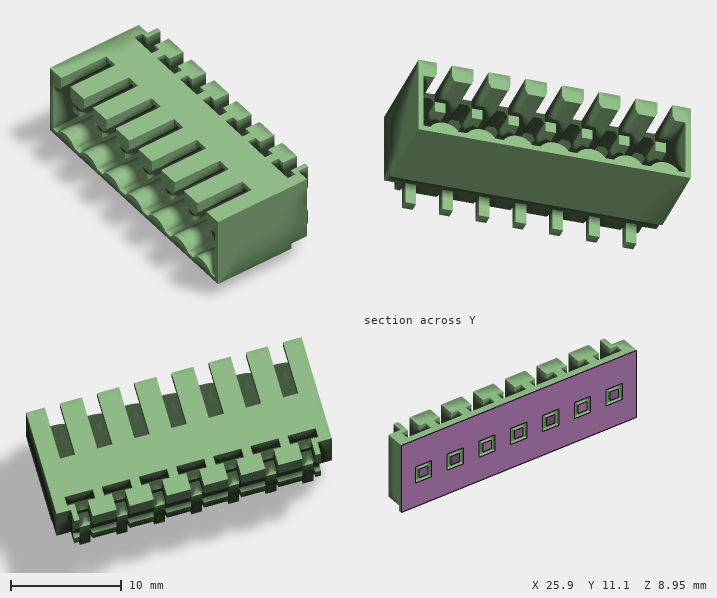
import cadquery as cq


pin_count = 7
pitch = 3.5
position_xs = [(i - (pin_count - 1) / 2) * pitch for i in range(pin_count)]

length = 25.9
depth = 11.05
height = 7.5
end_step_x = 1.35
end_step_y = 1.11
foot_step_y = 2.82
foot_step_z = 0.62

wall = 0.5
cavity_top_z = height - 1.63
cavity_depth = depth - foot_step_y - wall
ridge_half_width = 1.35
ridge_height = 0.7
groove_base_width = 1.97
groove_top_width = 0.75
groove_top_z = height - 0.55
slot_width = 1.42
slot_length = 5.02

pin_size = 1.0
pin_top_z = height - 3.45
pin_tip_y = 1.17
pin_back_y = depth - 0.3
pin_bottom_z = height - 8.95
collar_size = 1.74
collar_depth = 0.47

back_groove_depth = 0.47
back_groove_top_z = height - 2.6
back_groove_bottom_z = height - 5.34
channel_width = 1.25
channel_depth = 1.58
pocket_width = 2.65
pocket_depth = 0.85


def box(x_mid, x_size, y_min, y_max, z_min, z_max):
    """Box centred on x_mid in X, given by its limits in Y and Z."""
    size = (x_size, y_max - y_min, z_max - z_min)
    return cq.Workplane("XY").box(*size, centered=(True, False, False)).translate((x_mid, y_min, z_min))


def housing_block():
    """Outer block with the raised foot, the corner steps and the groove along the back."""
    foot_front_y = depth - foot_step_y
    profile = [
        (0, 0), (foot_front_y, 0), (foot_front_y, foot_step_z), (depth, foot_step_z),
        (depth, height), (0, height),
    ]
    block = cq.Workplane("YZ").polyline(profile).close().extrude(length / 2, both=True)
    for side in (-1, 1):
        x_mid = side * (length - end_step_x) / 2
        block = block.cut(box(x_mid, end_step_x, depth - end_step_y, depth, 0, height))
    groove_front_y = depth - back_groove_depth
    return block.cut(box(0, length, groove_front_y, depth, back_groove_bottom_z, back_groove_top_z))


def front_cavity():
    """Space inside the housing: a box with roof grooves added and floor ridges left standing."""
    cavity = box(0, length - 2 * wall, 0, cavity_depth, wall, cavity_top_z)
    front = cq.Workplane("XZ")
    for x in position_xs:
        roof_groove = front.polyline([
            (x - groove_base_width / 2, cavity_top_z),
            (x - groove_top_width / 2, groove_top_z),
            (x + groove_top_width / 2, groove_top_z),
            (x + groove_base_width / 2, cavity_top_z),
        ]).close().extrude(-cavity_depth)
        floor_ridge = (
            front.moveTo(x - ridge_half_width, wall)
            .threePointArc((x, wall + ridge_height), (x + ridge_half_width, wall))
            .close().extrude(-cavity_depth)
        )
        cavity = cavity.union(roof_groove).cut(floor_ridge)
    return cavity


def roof_slot(x):
    """Slot through the roof into the cavity, open at the front."""
    return box(x, slot_width, 0, slot_length, cavity_top_z, height)


def collar_recess(x):
    """Shallow square recess round a pin in the end wall of the cavity."""
    z_mid = pin_top_z - pin_size / 2
    z_min = z_mid - collar_size / 2
    return box(x, collar_size, cavity_depth, cavity_depth + collar_depth, z_min, z_min + collar_size)


def back_opening(x):
    """T-shaped opening behind a pin: an upright channel down to the pin top and a pocket across it."""
    channel_front_y = depth - channel_depth
    channel = box(x, channel_width, channel_front_y, depth, pin_top_z, height)
    pocket = box(
        x, pocket_width, channel_front_y - pocket_depth, channel_front_y, back_groove_top_z, height,
    )
    return channel.union(pocket)


def lip_notch(x):
    """Notch in the lip below the back groove, narrowing from the channel width to the pin width."""
    groove_front_y = depth - back_groove_depth
    return cq.Workplane("XY").polyline([
        (x - channel_width / 2, depth),
        (x - pin_size / 2, groove_front_y),
        (x + pin_size / 2, groove_front_y),
        (x + channel_width / 2, depth),
    ]).close().extrude(back_groove_bottom_z)


def make_pin(x):
    """Square right-angle pin: an arm into the cavity and a leg down at the back."""
    arm = box(x, pin_size, pin_tip_y, pin_back_y, pin_top_z - pin_size, pin_top_z)
    leg = box(x, pin_size, pin_back_y - pin_size, pin_back_y, pin_bottom_z, pin_top_z)
    return arm.union(leg)


def make_housing(pins):
    """Housing with every position cut out and a matching hole for each pin."""
    body = housing_block().cut(front_cavity())
    for x, pin in zip(position_xs, pins):
        body = body.cut(roof_slot(x)).cut(collar_recess(x))
        body = body.cut(back_opening(x)).cut(lip_notch(x))
        body = body.cut(pin)
    return body


pins = [make_pin(x) for x in position_xs]
housing = make_housing(pins)

result = cq.Compound.makeCompound([housing.solids().val(), *[pin.solids().val() for pin in pins]])